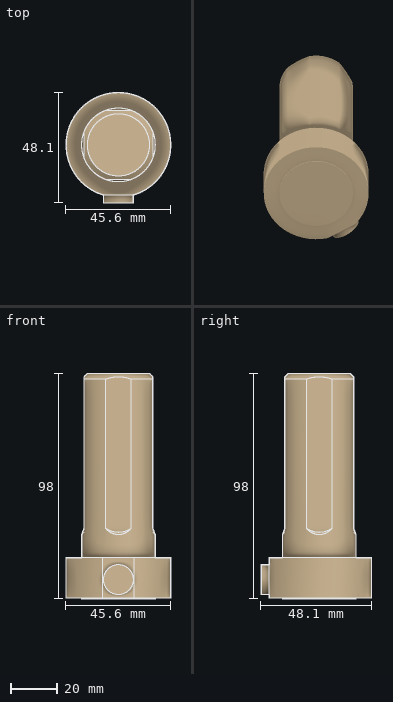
import cadquery as cq

shaft_diameter = 32.0
total_height = 98.0
top_chamfer = 2.5

across_flats = 30.0
flat_bottom_z = 28.0
runout_radius = 10.0
flat_count = 4

collar_diameter = 45.6
collar_bottom_z = 0.35
collar_top_z = 18.0
collar_flat_distance = 21.75

pin_diameter = 13.0
pin_center_z = 8.45
pin_end_distance = 25.25

shaft_radius = shaft_diameter / 2
flat_distance = across_flats / 2
flat_depth = shaft_radius - flat_distance
runout_center_z = flat_bottom_z + runout_radius + flat_depth


def make_shaft():
    shaft = cq.Workplane("XY").circle(shaft_radius).extrude(total_height)
    return shaft.faces(">Z").chamfer(top_chamfer)


def make_flat_cutter():
    """Solid that mills the flat on the +X side, with a rounded, conical lower end."""
    slab_height = total_height - runout_center_z
    slab = cq.Workplane("XY").box(
        flat_depth, shaft_diameter, slab_height, centered=(False, True, False)
    )
    slab = slab.translate((flat_distance, 0, runout_center_z))
    runout = cq.Solid.makeCone(
        runout_radius,
        runout_radius + flat_depth,
        flat_depth,
        pnt=cq.Vector(flat_distance, 0, runout_center_z),
        dir=cq.Vector(1, 0, 0),
    )
    return slab.union(cq.Workplane(runout))


def make_collar():
    collar_height = collar_top_z - collar_bottom_z
    collar = (
        cq.Workplane("XY")
        .workplane(offset=collar_bottom_z)
        .circle(collar_diameter / 2)
        .extrude(collar_height)
    )
    envelope = (
        cq.Workplane("XY")
        .workplane(offset=collar_bottom_z)
        .center(0, collar_diameter / 2 - collar_flat_distance)
        .rect(collar_diameter, collar_diameter)
        .extrude(collar_height)
    )
    return collar.intersect(envelope)


def make_pin():
    """Pin along -Y, rooted at the shaft axis."""
    return (
        cq.Workplane("XZ")
        .center(0, pin_center_z)
        .circle(pin_diameter / 2)
        .extrude(pin_end_distance)
    )


shaft = make_shaft()
flat_cutter = make_flat_cutter()
for index in range(flat_count):
    angle = index * 360 / flat_count
    shaft = shaft.cut(flat_cutter.rotate((0, 0, 0), (0, 0, 1), angle))

result = shaft.union(make_collar()).union(make_pin())